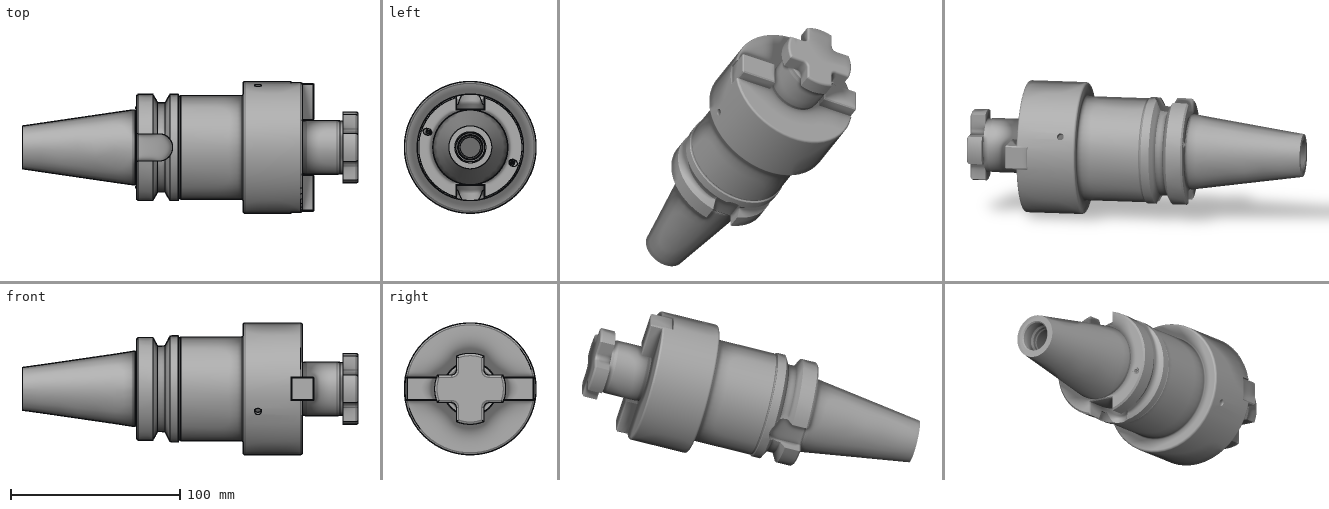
import cadquery as cq
import math


taper_length = 65.4
gauge_radius = 44.45 / 2
taper_ratio = 7 / 24
shank_undercut_start = 1.2
shank_undercut_depth = 0.2
small_end_radius = gauge_radius - taper_length * taper_ratio / 2

flange_start = 2.0
flange_end = 27.0
flange_radius = 63.0 / 2
flange_chamfer = 1.0
groove_center = 16.75
groove_floor_width = 4.4
groove_depth = 5.0
groove_half_angle = 30.0
groove_side_run = groove_depth * math.tan(math.radians(groove_half_angle))

body_radius = 61.5 / 2
body_fillet = 0.8
body_relief_length = 1.2
body_relief_depth = 0.5
rim_chamfer = 0.3
collar_start = 65.0
collar_end = 100.0
collar_radius = 78.0 / 2
collar_fillet = 1.2
arbor_radius = 32.0 / 2
arbor_end = 122.3
arbor_chamfer_length = 1.8
arbor_chamfer_depth = 0.3
undercut_length = 2.2
undercut_ramp = 1.3
undercut_depth = 0.3

slot_width = 16.1
slot_floor = 45.0 / 2
slot_end = 23.4
slot_mouth_chamfer_width = 0.5
slot_mouth_chamfer_length = 0.8

mouth_radius = 18.4 / 2
pilot_radius = 17.0 / 2
pilot_depth = 8.0
thread_mouth_radius = 15.0 / 2
thread_mouth_length = 2.0
thread_radius = 13.8 / 2
thread_depth = 32.0
bore_tip_radius = 12.0 / 2
bore_depth = 36.0

hole_angle = 20.0
hole_radius = 4.0 / 2
inlet_pitch_radius = 26.9
inlet_tilt = 40.0
plug_recess = 1.0
plug_length = 5.0
plug_socket = 2.0
plug_socket_depth = 1.5
cross_hole_x = 73.8
cross_hole_depth = 4.0

key_width = 14.0
key_start = 93.3
key_end = 107.0
key_inner = 16.3
key_outer = 37.8
key_chamfer = 0.7

head_start = 124.0
head_end = 133.0
head_radius = 42.0 / 2
head_fillet = 1.4
lobe_width = 16.4
lobe_fillet = 2.8
hub_radius = 15.7
shank_radius = 16.0 / 2
shank_length = 30.0


def rod(x_start, x_end, radius):
    return cq.Workplane("YZ").workplane(offset=x_start).circle(radius).extrude(x_end - x_start)


def turned_blank():
    groove_start = groove_center - groove_floor_width / 2 - groove_side_run
    groove_stop = groove_center + groove_floor_width / 2 + groove_side_run
    groove_radius = flange_radius - groove_depth
    shank_undercut_end = flange_start - shank_undercut_depth
    profile = (
        cq.Workplane("XY")
        .moveTo(-taper_length, 0)
        .lineTo(-taper_length, small_end_radius)
        .lineTo(0, gauge_radius)
        .lineTo(shank_undercut_start, gauge_radius)
        .lineTo(shank_undercut_start + shank_undercut_depth, gauge_radius - shank_undercut_depth)
        .lineTo(shank_undercut_end, gauge_radius - shank_undercut_depth)
        .lineTo(flange_start, gauge_radius)
        .lineTo(flange_start, flange_radius - flange_chamfer)
        .lineTo(flange_start + flange_chamfer, flange_radius)
        .lineTo(groove_start, flange_radius)
        .lineTo(groove_start + groove_side_run, groove_radius)
        .lineTo(groove_stop - groove_side_run, groove_radius)
        .lineTo(groove_stop, flange_radius)
        .lineTo(flange_end - rim_chamfer, flange_radius)
        .lineTo(flange_end, flange_radius - rim_chamfer)
        .lineTo(flange_end, body_radius - body_relief_depth)
        .lineTo(flange_end + body_relief_length - body_relief_depth, body_radius - body_relief_depth)
        .lineTo(flange_end + body_relief_length, body_radius)
        .lineTo(collar_start - body_fillet, body_radius)
        .radiusArc((collar_start, body_radius + body_fillet), -body_fillet)
        .lineTo(collar_start, collar_radius - collar_fillet)
        .radiusArc((collar_start + collar_fillet, collar_radius), collar_fillet)
        .lineTo(collar_end - collar_fillet, collar_radius)
        .radiusArc((collar_end, collar_radius - collar_fillet), collar_fillet)
        .lineTo(collar_end, arbor_radius - undercut_depth)
        .lineTo(collar_end + undercut_length - undercut_ramp, arbor_radius - undercut_depth)
        .lineTo(collar_end + undercut_length, arbor_radius)
        .lineTo(arbor_end - arbor_chamfer_length, arbor_radius)
        .lineTo(arbor_end, arbor_radius - arbor_chamfer_depth)
        .lineTo(arbor_end, 0)
        .close()
    )
    return profile.revolve(360, (0, 0, 0), (1, 0, 0))


def stud_bore():
    mouth = -taper_length
    mouth_chamfer = mouth_radius - pilot_radius
    pilot_cone_end = mouth + pilot_depth + pilot_radius - thread_mouth_radius
    thread_start = pilot_cone_end + thread_mouth_length
    profile = [
        (mouth, 0),
        (mouth, mouth_radius),
        (mouth + mouth_chamfer, pilot_radius),
        (mouth + pilot_depth, pilot_radius),
        (pilot_cone_end, thread_mouth_radius),
        (thread_start, thread_mouth_radius),
        (thread_start + thread_mouth_radius - thread_radius, thread_radius),
        (mouth + thread_depth, thread_radius),
        (mouth + thread_depth, bore_tip_radius),
        (mouth + bore_depth, bore_tip_radius),
        (mouth + bore_depth, 0),
    ]
    return cq.Workplane("XY").polyline(profile).close().revolve(360, (0, 0, 0), (1, 0, 0))


def drive_slot(turn):
    end_center = slot_end - slot_width / 2
    height = collar_radius - slot_floor
    straight = cq.Workplane("XY").box(end_center, slot_width, height, centered=(False, True, False))
    rounded_end = cq.Workplane("XY").center(end_center, 0).circle(slot_width / 2).extrude(height)
    mouth = (
        cq.Workplane("YZ").workplane(offset=flange_start + slot_mouth_chamfer_length)
        .rect(slot_width, 2 * height)
        .workplane(offset=-slot_mouth_chamfer_length)
        .rect(slot_width + 2 * slot_mouth_chamfer_width, 2 * (height + slot_mouth_chamfer_width))
        .loft(ruled=True)
        .translate((0, 0, height))
    )
    slot = straight.union(rounded_end).union(mouth).translate((0, 0, slot_floor))
    return slot.rotate((0, 0, 0), (1, 0, 0), turn)


def inclined(shape, turn):
    """Tilt a shape built along +X at the origin towards the axis and set it at a coolant inlet."""
    tilted = shape.rotate((0, 0, 0), (0, 0, 1), -inlet_tilt)
    placed = tilted.translate((flange_start, inlet_pitch_radius, 0))
    return placed.rotate((0, 0, 0), (1, 0, 0), hole_angle + turn)


def inlet_hole():
    return rod(-2 * hole_radius, plug_recess + plug_length, hole_radius)


def inlet_plug():
    socket = (
        cq.Workplane("YZ").workplane(offset=plug_recess)
        .polygon(6, plug_socket, circumscribed=True).extrude(plug_socket_depth)
    )
    return rod(plug_recess, plug_recess + plug_length, hole_radius).cut(socket)


def cross_hole(turn):
    hole = (
        cq.Workplane("XZ").workplane(offset=-collar_radius).center(cross_hole_x, 0)
        .circle(hole_radius).extrude(cross_hole_depth)
    )
    return hole.rotate((0, 0, 0), (1, 0, 0), hole_angle + turn)


def drive_key(turn):
    length = key_end - key_start
    height = key_outer - key_inner
    block = cq.Workplane("XY").box(length, height, key_width, centered=(False, False, True))
    key = block.faces(">X or >Y").edges().chamfer(key_chamfer)
    return key.translate((key_start, key_inner, 0)).rotate((0, 0, 0), (1, 0, 0), turn)


def key_slot(turn):
    length = collar_end - key_start
    height = collar_radius - key_inner
    slot = cq.Workplane("XY").box(length, height, key_width, centered=(False, False, True))
    return slot.translate((key_start, key_inner, 0)).rotate((0, 0, 0), (1, 0, 0), turn)


def bolt_shank():
    return rod(arbor_end - shank_length, arbor_end, shank_radius)


def retaining_bolt():
    length = head_end - head_start
    bar = cq.Workplane("YZ").workplane(offset=head_start).rect(lobe_width, 2 * head_radius).extrude(length)
    cross = bar.union(bar.rotate((0, 0, 0), (1, 0, 0), 90))
    inner_corners = cq.selectors.BoxSelector(
        (head_start, -lobe_width, -lobe_width), (head_end, lobe_width, lobe_width)
    )
    cross = cross.edges("|X").edges(inner_corners).fillet(lobe_fillet)
    disc = rod(head_start, head_end, head_radius)
    hub = rod(arbor_end, head_start, hub_radius)
    head = cross.intersect(disc).faces(">X").edges().fillet(head_fillet)
    return head.union(hub).union(bolt_shank())


opposite = (0, 180)

holder = turned_blank().cut(stud_bore()).cut(bolt_shank())
for turn in opposite:
    holder = holder.cut(drive_slot(turn))
    holder = holder.cut(inclined(inlet_hole(), turn))
    holder = holder.cut(cross_hole(turn))
    holder = holder.cut(key_slot(turn))

keys = [drive_key(turn) for turn in opposite]
plugs = [inclined(inlet_plug(), turn) for turn in opposite]
bolt = retaining_bolt()

bodies = [holder, bolt, *keys, *plugs]
result = cq.Compound.makeCompound([body.val() for body in bodies])